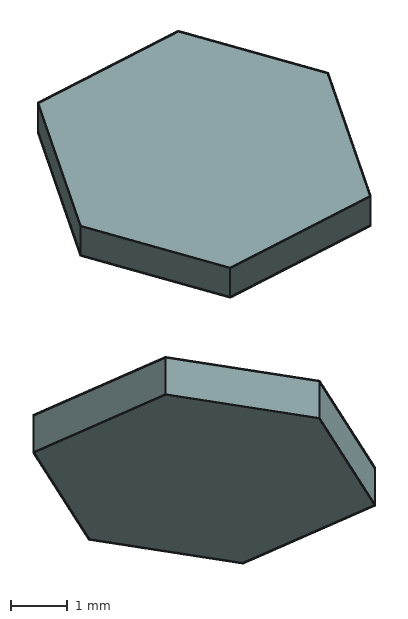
import cadquery as cq

length = 6.24
width = 4.89
thickness = 0.78
flat_length = 2.81

half_length = length / 2
half_width = width / 2
half_flat = flat_length / 2

corners = [
    (half_length, 0),
    (half_flat, half_width),
    (-half_flat, half_width),
    (-half_length, 0),
    (-half_flat, -half_width),
    (half_flat, -half_width),
]

result = cq.Workplane("XY").polyline(corners).close().extrude(thickness)